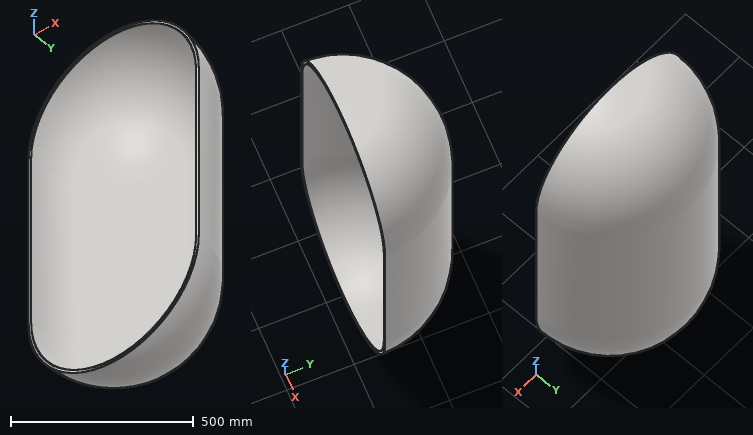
import cadquery as cq

total_height = 1200.0
outer_radius = 300.0
wall = 10.0
straight_height = total_height - 2 * outer_radius


def capsule(radius):
    """Upright solid capsule centred on the origin, with hemispherical ends."""
    half_straight = straight_height / 2
    diagonal = radius * 0.5 ** 0.5
    return (
        cq.Workplane("XZ")
        .moveTo(0, -half_straight - radius)
        .threePointArc((diagonal, -half_straight - diagonal), (radius, -half_straight))
        .lineTo(radius, half_straight)
        .threePointArc((diagonal, half_straight + diagonal), (0, half_straight + radius))
        .close()
        .revolve(360, (0, 0, 0), (0, 1, 0))
    )


kept_half = cq.Workplane("XY").box(
    2 * outer_radius, outer_radius, total_height, centered=(True, False, True)
)

shell = capsule(outer_radius).cut(capsule(outer_radius - wall))
result = shell.intersect(kept_half)